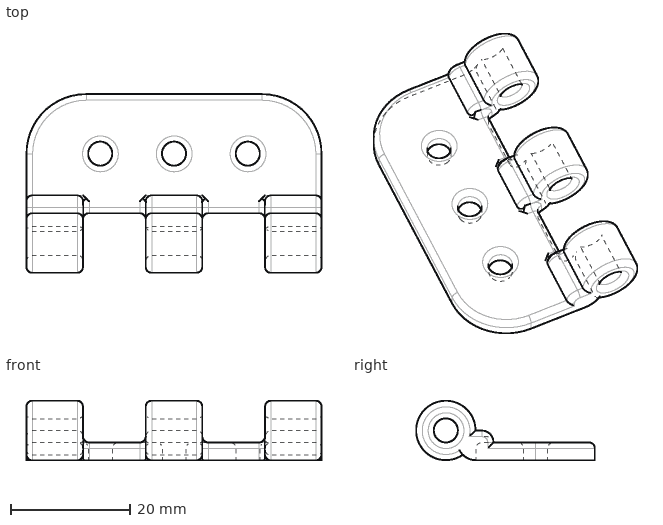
import cadquery as cq

width = 49.5
leaf_back = 25.0
leaf_thickness = 3.0
leaf_corner_radius = 10.0
edge_round = 1.0

knuckle_radius = 5.0
knuckle_width = 9.5
knuckle_count = 3
pin_diameter = 4.0

arm_back = 8.0
arm_height = 5.0
arm_heel_radius = 3.0

screw_diameter = 4.0
screw_y = 15.0
screw_count = 3

axis_height = knuckle_radius
leaf_front = knuckle_radius
arm_front = leaf_front - arm_heel_radius
arm_crown_radius = arm_height - leaf_thickness
crown_back = arm_back - edge_round
lip_y = leaf_front + edge_round
lip_z = leaf_thickness - edge_round
knuckle_pitch = (width - knuckle_width) / (knuckle_count - 1)
knuckle_centers = [(i - (knuckle_count - 1) / 2) * knuckle_pitch for i in range(knuckle_count)]
screw_pitch = width / (screw_count + 1)
screw_points = [((i + 1) * screw_pitch - width / 2, screw_y) for i in range(screw_count)]


def make_leaf():
    """Flat leaf with two round back corners and screw holes, all rounded along the top."""
    depth = leaf_back - leaf_front
    leaf = cq.Workplane("XY").box(width, depth, leaf_thickness, centered=(True, False, False))
    leaf = leaf.translate((0, leaf_front, 0))
    leaf = leaf.edges("|Z and >Y").fillet(leaf_corner_radius)
    holes = (
        cq.Workplane("XY")
        .pushPoints(screw_points)
        .circle(screw_diameter / 2)
        .extrude(leaf_thickness)
    )
    return leaf.cut(holes).faces(">Z").edges().fillet(edge_round)


def knuckle_disc(radius):
    """Cylinder on the hinge axis, as wide as a knuckle and centered on x = 0."""
    return (
        cq.Workplane("YZ", origin=(-knuckle_width / 2, 0, axis_height))
        .circle(radius)
        .extrude(knuckle_width)
    )


def make_barrel():
    """Hinge barrel with a pin bore; its outer rims and bore mouths are rounded."""
    barrel = knuckle_disc(knuckle_radius).cut(knuckle_disc(pin_diameter / 2))
    return barrel.faces("<X or >X").edges().fillet(edge_round)


def make_arm():
    """Arm from the leaf to the barrel, with a round crown, a round heel and rounded top sides."""
    depth = arm_back - arm_front
    arm = cq.Workplane("XY").box(knuckle_width, depth, arm_height, centered=(True, False, False))
    arm = arm.translate((0, arm_front, 0))
    arm = arm.edges("|X and >Y and >Z").fillet(arm_crown_radius)
    arm = arm.edges("|X and <Y and <Z").fillet(arm_heel_radius)
    for side in ("<X", ">X"):
        arm = arm.faces(side).edges(">Y or >Z").fillet(edge_round)
    bore_mouth_radius = pin_diameter / 2 + edge_round
    return arm.cut(knuckle_disc(bore_mouth_radius))


def cove_section(plane, origin):
    """Concave quarter-round section that reaches out along local x and rises along local y.

    It also backs one radius into the corner, to fill in behind rounded arm edges.
    """
    r = edge_round
    return (
        cq.Workplane(plane, origin=origin)
        .moveTo(-r, 0)
        .lineTo(r, 0)
        .radiusArc((0, r), r)
        .lineTo(-r, r)
        .close()
    )


def make_cove():
    """Concave fillet between the leaf and the +X side of the arm centered on x = 0."""
    side = knuckle_width / 2
    r = edge_round

    top_run = cove_section("XZ", (side, lip_y, leaf_thickness)).extrude(lip_y - crown_back)

    tail = cove_section("XZ", (side, crown_back, leaf_thickness)).extrude(crown_back - arm_back)
    taper = cove_section("YZ", (side - r, crown_back, leaf_thickness)).extrude(2 * r)
    tail_plan = (
        cq.Workplane("XY", origin=(side, crown_back, leaf_thickness))
        .polyline([(-r, 0), (r, 0), (0, r), (-r, r)])
        .close()
        .extrude(r)
    )
    tail = tail.intersect(taper).intersect(tail_plan)

    lip_turn = cove_section("XZ", (side, lip_y, leaf_thickness)).revolve(
        90, (0, -r, 0), (1, -r, 0)
    )

    drop = (
        cq.Workplane("XY")
        .moveTo(side, leaf_front)
        .lineTo(side + r, leaf_front)
        .radiusArc((side, leaf_front - r), -r)
        .close()
        .extrude(lip_z)
    )
    heel_cut = (
        cq.Workplane("YZ", origin=(side, 0, 0))
        .moveTo(leaf_front, 0)
        .radiusArc((arm_front, arm_heel_radius), arm_heel_radius)
        .lineTo(arm_front, 0)
        .close()
        .extrude(r)
    )
    return top_run.union(tail).union(lip_turn).union(drop.cut(heel_cut))


knuckle = make_barrel().union(make_arm())
right_cove = make_cove()
left_cove = right_cove.mirror("YZ")

result = make_leaf()
for index, x in enumerate(knuckle_centers):
    result = result.union(knuckle.translate((x, 0, 0)))
    if index > 0:
        result = result.union(left_cove.translate((x, 0, 0)))
    if index < knuckle_count - 1:
        result = result.union(right_cove.translate((x, 0, 0)))